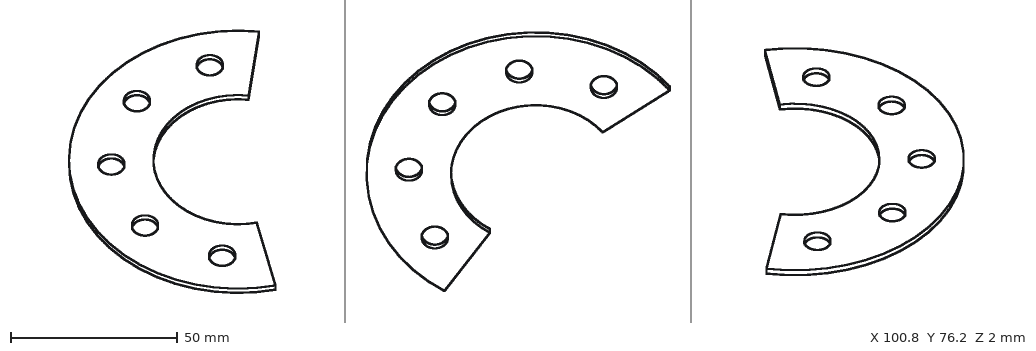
import cadquery as cq
import math

overall_length = 100.8
thickness = 2.0
hole_diameter = 8.0
hole_count = 5
start_angle = 150.0
end_angle = 350.0

outer_radius = overall_length / (1 + math.cos(math.radians(end_angle)))
inner_radius = outer_radius / 2
hole_circle_radius = (outer_radius + inner_radius) / 2

hole_pitch = (end_angle - start_angle) / hole_count
middle_angle = (start_angle + end_angle) / 2


def polar_point(radius, angle):
    """Point at a radius and an angle in degrees about the arc centre."""
    radians = math.radians(angle)
    return (radius * math.cos(radians), radius * math.sin(radians))


plate = (
    cq.Workplane("XY")
    .moveTo(*polar_point(outer_radius, start_angle))
    .threePointArc(polar_point(outer_radius, middle_angle), polar_point(outer_radius, end_angle))
    .lineTo(*polar_point(inner_radius, end_angle))
    .threePointArc(polar_point(inner_radius, middle_angle), polar_point(inner_radius, start_angle))
    .close()
    .extrude(thickness)
)

hole_centres = [
    polar_point(hole_circle_radius, start_angle + (index + 0.5) * hole_pitch)
    for index in range(hole_count)
]
holes = (
    cq.Workplane("XY")
    .pushPoints(hole_centres)
    .circle(hole_diameter / 2)
    .extrude(thickness)
)

result = plate.cut(holes)